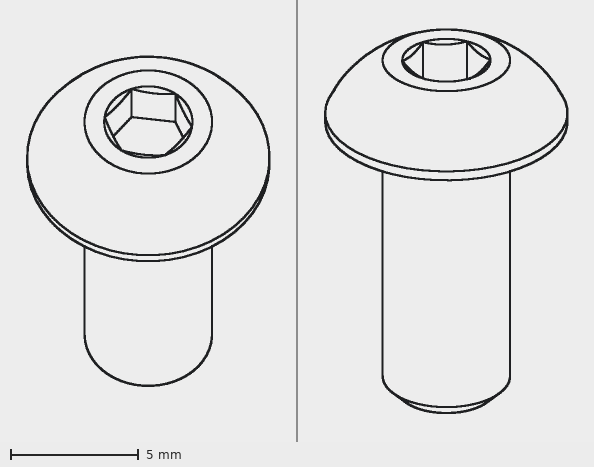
import cadquery as cq
import math

total_length = 14.75
head_diameter = 9.5
head_height = 2.75
shank_diameter = 5.0

rim_height = 0.4
crown_diameter = 5.0
dome_bulge = 0.28

tip_chamfer = 0.6

socket_across_flats = 3.0
socket_depth = 1.87
countersink_angle = 30.0

tip_z = head_height - total_length
head_radius = head_diameter / 2
crown_radius = crown_diameter / 2
socket_across_corners = socket_across_flats / math.cos(math.radians(30))


def make_head():
    """Button head: a short cylindrical rim under a domed crown with a flat top."""
    run = head_radius - crown_radius
    rise = head_height - rim_height
    chord = math.hypot(run, rise)
    dome_radius = (head_radius + crown_radius) / 2 + dome_bulge * rise / chord
    dome_z = (rim_height + head_height) / 2 + dome_bulge * run / chord
    return (
        cq.Workplane("XZ")
        .lineTo(head_radius, 0)
        .lineTo(head_radius, rim_height)
        .threePointArc((dome_radius, dome_z), (crown_radius, head_height))
        .lineTo(0, head_height)
        .close()
        .revolve(360, (0, 0), (0, 1))
    )


def make_shank():
    """Plain cylindrical shank with a chamfered tip."""
    return (
        cq.Workplane("XY")
        .workplane(offset=tip_z)
        .circle(shank_diameter / 2)
        .extrude(-tip_z)
        .faces("<Z")
        .chamfer(tip_chamfer)
    )


def make_socket():
    """Hexagon recess with corners on the Y axis and a conical entry touching them."""
    hexagon = (
        cq.Workplane("XY")
        .workplane(offset=head_height)
        .transformed(rotate=(0, 0, 90))
        .polygon(6, socket_across_corners)
        .extrude(-socket_depth)
    )
    cone_radius = socket_across_corners / 2
    cone_depth = cone_radius * math.tan(math.radians(countersink_angle))
    countersink = (
        cq.Workplane("XZ")
        .moveTo(0, head_height)
        .lineTo(cone_radius, head_height)
        .lineTo(0, head_height - cone_depth)
        .close()
        .revolve(360, (0, 0), (0, 1))
    )
    return hexagon.union(countersink)


result = make_head().union(make_shank()).cut(make_socket())